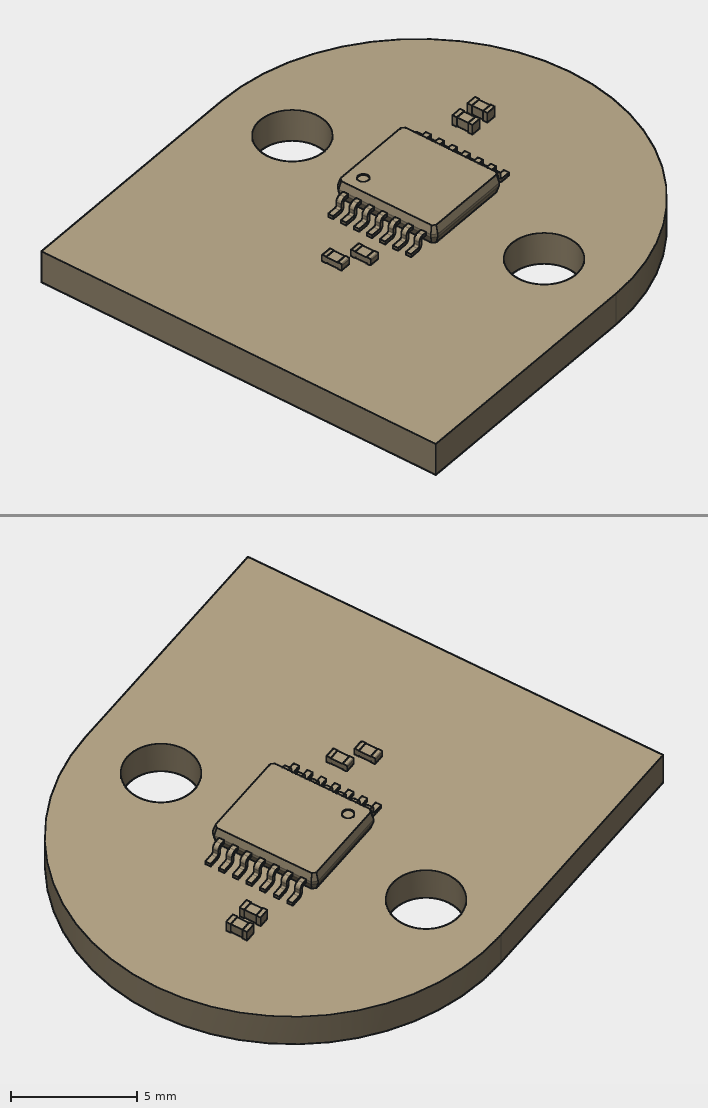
import cadquery as cq
import math

BOARD_WIDTH = 19.7
BOARD_LENGTH = 21.6
BOARD_THICKNESS = 1.6
END_RADIUS = BOARD_WIDTH / 2
MOUNT_HOLE_DIAMETER = 3.2
MOUNT_HOLE_SPACING = 12.57

LAYOUT_X = -0.02

SOLDER_GAP = 0.05
SEAT_Z = BOARD_THICKNESS + SOLDER_GAP

CHIP_CENTRE = (LAYOUT_X, 0.02)
OVERALL_HEIGHT = 2.65
PACKAGE_LENGTH = 4.99
PACKAGE_WIDTH = 4.4
PACKAGE_CORNER = 0.2
PACKAGE_STANDOFF = 0.1
PACKAGE_INSET = 0.1
PACKAGE_BOTTOM_Z = SEAT_Z + PACKAGE_STANDOFF
PACKAGE_MIDDLE_Z = (PACKAGE_BOTTOM_Z + OVERALL_HEIGHT) / 2
PIN_MARK_DIAMETER = 0.5
PIN_MARK_DEPTH = 0.06
PIN_MARK_X = -1.68
PIN_MARK_Y = -1.4

LEADS_PER_SIDE = 7
LEAD_PITCH = 0.65
LEAD_WIDTH = 0.25
LEAD_THICKNESS = 0.15
LEAD_SPAN = 6.4
LEAD_SHANK_Y = 2.65
BEND_INNER_RADIUS = 0.09
BEND_OUTER_RADIUS = BEND_INNER_RADIUS + LEAD_THICKNESS

PASSIVE_LENGTH = 1.0
PASSIVE_WIDTH = 0.5
CAP_LENGTH = 0.22
CAP_OVERLAP = 0.02
CAPACITOR_HEIGHT = 0.5
CAPACITOR_CENTRES = [(-1.12, 5.55), (-1.15, 4.6)]
RESISTOR_HEIGHT = 0.35
RESISTOR_CAP_RADIUS = 0.05
RESISTOR_CENTRES = [(0.6, -4.32), (-0.1, -5.27)]


def make_board():
    straight_end_y = END_RADIUS - BOARD_LENGTH
    outline = (
        cq.Workplane("XY")
        .moveTo(-END_RADIUS, straight_end_y)
        .lineTo(END_RADIUS, straight_end_y)
        .lineTo(END_RADIUS, 0)
        .threePointArc((0, END_RADIUS), (-END_RADIUS, 0))
        .close()
    )
    mount_holes = (
        cq.Workplane("XY")
        .pushPoints([(LAYOUT_X + side * MOUNT_HOLE_SPACING / 2, 0) for side in (-1, 1)])
        .circle(MOUNT_HOLE_DIAMETER / 2)
        .extrude(BOARD_THICKNESS)
    )
    return outline.extrude(BOARD_THICKNESS).cut(mount_holes)


def make_package():
    """Moulded block: a straight middle band with drafted faces above and below it."""
    band = (
        cq.Workplane("XY", origin=(0, 0, PACKAGE_MIDDLE_Z))
        .rect(PACKAGE_LENGTH, PACKAGE_WIDTH)
        .extrude(LEAD_THICKNESS / 2, both=True)
        .edges("|Z")
        .chamfer(PACKAGE_CORNER)
    )
    draft_height = OVERALL_HEIGHT - PACKAGE_MIDDLE_Z - LEAD_THICKNESS / 2
    draft_angle = math.degrees(math.atan(PACKAGE_INSET / draft_height))
    upper = band.faces(">Z").wires().toPending().workplane().extrude(
        draft_height, taper=draft_angle, combine=False
    )
    lower = upper.mirror("XY", (0, 0, PACKAGE_MIDDLE_Z))
    pin_mark = (
        cq.Workplane("XY", origin=(PIN_MARK_X, PIN_MARK_Y, OVERALL_HEIGHT))
        .circle(PIN_MARK_DIAMETER / 2)
        .extrude(-PIN_MARK_DEPTH)
    )
    return band.union(upper).union(lower).cut(pin_mark)


def make_lead():
    """Gull-wing lead on the +Y side, centred on X = 0."""
    root_y = PACKAGE_WIDTH / 2 - LEAD_THICKNESS
    inner_shank_y = LEAD_SHANK_Y - LEAD_THICKNESS
    tip_y = LEAD_SPAN / 2
    shoulder_top_z = PACKAGE_MIDDLE_Z + LEAD_THICKNESS / 2
    shoulder_bottom_z = PACKAGE_MIDDLE_Z - LEAD_THICKNESS / 2
    foot_top_z = SEAT_Z + LEAD_THICKNESS
    upper_bend_y = LEAD_SHANK_Y - BEND_OUTER_RADIUS
    upper_bend_z = shoulder_top_z - BEND_OUTER_RADIUS
    lower_bend_y = inner_shank_y + BEND_OUTER_RADIUS
    lower_bend_z = SEAT_Z + BEND_OUTER_RADIUS
    return (
        cq.Workplane("YZ")
        .moveTo(root_y, shoulder_top_z)
        .lineTo(upper_bend_y, shoulder_top_z)
        .tangentArcPoint((LEAD_SHANK_Y, upper_bend_z), relative=False)
        .lineTo(LEAD_SHANK_Y, lower_bend_z)
        .tangentArcPoint((lower_bend_y, foot_top_z), relative=False)
        .lineTo(tip_y, foot_top_z)
        .lineTo(tip_y, SEAT_Z)
        .lineTo(lower_bend_y, SEAT_Z)
        .tangentArcPoint((inner_shank_y, lower_bend_z), relative=False)
        .lineTo(inner_shank_y, upper_bend_z)
        .tangentArcPoint((upper_bend_y, shoulder_bottom_z), relative=False)
        .lineTo(root_y, shoulder_bottom_z)
        .close()
        .extrude(LEAD_WIDTH / 2, both=True)
    )


def make_chip():
    chip = make_package()
    lead = make_lead()
    opposite_lead = lead.mirror("XZ")
    first_lead_x = -LEAD_PITCH * (LEADS_PER_SIDE - 1) / 2
    for index in range(LEADS_PER_SIDE):
        offset = (first_lead_x + index * LEAD_PITCH, 0, 0)
        chip = chip.union(lead.translate(offset)).union(opposite_lead.translate(offset))
    return chip.translate((*CHIP_CENTRE, 0))


def join_passive(body, end_cap, centre, height):
    """Add an end cap, modelled at the +X end, to both ends of a body and seat the whole."""
    passive = body.union(end_cap).union(end_cap.mirror("YZ"))
    return passive.translate((*centre, SEAT_Z + height / 2))


def make_end_cap(height):
    cap_x = (PASSIVE_LENGTH - CAP_LENGTH) / 2
    return cq.Workplane("XY", origin=(cap_x, 0, 0)).box(CAP_LENGTH, PASSIVE_WIDTH, height)


def make_capacitor(centre):
    """Square-edged end caps, proud of the body all round."""
    body = cq.Workplane("XY").box(
        PASSIVE_LENGTH - CAP_LENGTH,
        PASSIVE_WIDTH - 2 * CAP_OVERLAP,
        CAPACITOR_HEIGHT - 2 * CAP_OVERLAP,
    )
    return join_passive(body, make_end_cap(CAPACITOR_HEIGHT), centre, CAPACITOR_HEIGHT)


def make_resistor(centre):
    """Round-edged end caps, proud of the body above and below but flush with its sides."""
    body = cq.Workplane("XY").box(
        PASSIVE_LENGTH - CAP_LENGTH,
        PASSIVE_WIDTH,
        RESISTOR_HEIGHT - 2 * CAP_OVERLAP,
    )
    end_cap = make_end_cap(RESISTOR_HEIGHT).faces(">X").edges("|Y").fillet(RESISTOR_CAP_RADIUS)
    return join_passive(body, end_cap, centre, RESISTOR_HEIGHT)


board = make_board()
chip = make_chip()
capacitors = [make_capacitor(centre) for centre in CAPACITOR_CENTRES]
resistors = [make_resistor(centre) for centre in RESISTOR_CENTRES]

result = cq.Compound.makeCompound(
    [board.val(), chip.val()] + [part.val() for part in capacitors + resistors]
)